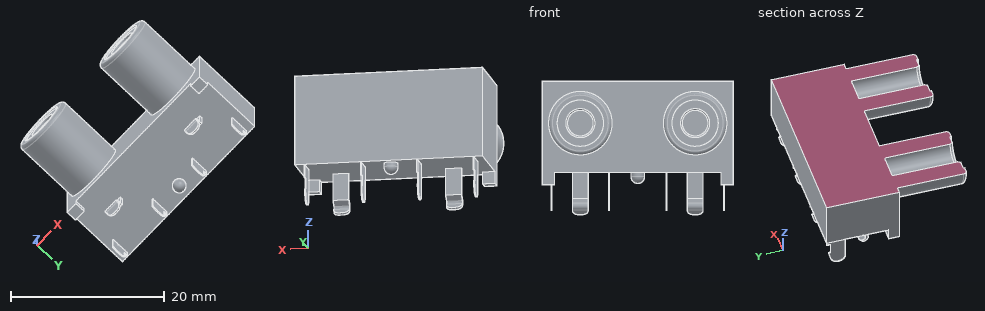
import cadquery as cq
import math


housing_width = 25.0
housing_depth = 10.0
housing_height = 11.95
foot_width = 1.65
foot_depth = 1.5
foot_height = 1.6

jack_spacing = 15.0
jack_axis_height = 6.45
barrel_length = 9.5
barrel_radius = 4.15
barrel_rim_fillet = 0.5
insulator_radius = 3.02
insulator_recess = 0.2
bore_radius = 1.68
bore_mouth_radius = 1.9
bore_taper_depth = 0.4

peg_radius = 0.9
peg_straight_height = 0.55
peg_setback = 8.3

pin_width = 2.1
pin_thickness = 0.38
pin_drop = 5.52
pin_front_setback = 3.82
bend_center_setback = 3.72
bend_center_drop = 4.42
bend_outer_radius = 0.65
pin_tip_fillet = 0.8

blade_thickness = 0.15
blade_pair_spacing = 7.5
blade_front_setback = 7.05
blade_back_setback = 9.6
notch_setback = 9.08
notch_top_drop = 1.65
barb_top_drop = 3.0
barb_tip_setback = 9.35
barb_tip_drop = 3.18
blade_tip_back_drop = 4.15
blade_tip_setback = 8.05
blade_tip_drop = 4.98
blade_tip_front_drop = 4.35

jack_positions = [-jack_spacing / 2, jack_spacing / 2]


def make_housing():
    block = cq.Workplane("XY").box(
        housing_width, housing_depth, housing_height, centered=(True, False, False)
    )
    foot_offset = (housing_width - foot_width) / 2
    feet = (
        cq.Workplane("XY")
        .pushPoints([(-foot_offset, foot_depth / 2), (foot_offset, foot_depth / 2)])
        .rect(foot_width, foot_depth)
        .extrude(-foot_height)
    )
    return block.union(feet)


def make_barrel(x):
    """Hollow barrel, revolved about the jack axis; y is negative in front of the housing."""
    rim_y = -barrel_length
    insulator_y = rim_y + insulator_recess
    rim_flat_radius = barrel_radius - barrel_rim_fillet
    return (
        cq.Workplane("XY")
        .moveTo(bore_radius, 0)
        .lineTo(barrel_radius, 0)
        .lineTo(barrel_radius, rim_y + barrel_rim_fillet)
        .radiusArc((rim_flat_radius, rim_y), barrel_rim_fillet)
        .lineTo(insulator_radius, rim_y)
        .lineTo(insulator_radius, insulator_y)
        .lineTo(bore_mouth_radius, insulator_y)
        .lineTo(bore_radius, insulator_y + bore_taper_depth)
        .close()
        .revolve(360, (0, 0, 0), (0, 1, 0))
        .translate((x, 0, jack_axis_height))
    )


def make_peg():
    """Round stem ending in a hemisphere, revolved about its vertical axis."""
    tip_start = -peg_straight_height
    return (
        cq.Workplane("XZ")
        .lineTo(peg_radius, 0)
        .lineTo(peg_radius, tip_start)
        .radiusArc((0, tip_start - peg_radius), peg_radius)
        .close()
        .revolve(360, (0, 0, 0), (0, 1, 0))
        .translate((0, peg_setback, 0))
    )


def make_pin(x):
    """Strip that goes down, forward at 45 degrees, around a bend and back at 45 degrees."""
    diagonal = math.cos(math.radians(45))
    inner_radius = bend_outer_radius - pin_thickness
    pin_back_setback = pin_front_setback + pin_thickness

    def bend_point(radius, side):
        """Tangent point of the bend; side is 1 at its upper end and -1 at its lower end."""
        reach = radius * diagonal
        return bend_center_setback - reach, -bend_center_drop + side * reach

    def bend_apex(radius):
        return bend_center_setback - radius, -bend_center_drop

    outer_top = bend_point(bend_outer_radius, 1)
    outer_bottom = bend_point(bend_outer_radius, -1)
    inner_top = bend_point(inner_radius, 1)
    inner_bottom = bend_point(inner_radius, -1)
    tip_run = pin_drop + outer_bottom[1]

    pin = (
        cq.Workplane("YZ")
        .moveTo(pin_front_setback, 0)
        .lineTo(pin_front_setback, outer_top[1] + pin_front_setback - outer_top[0])
        .lineTo(*outer_top)
        .threePointArc(bend_apex(bend_outer_radius), outer_bottom)
        .lineTo(outer_bottom[0] + tip_run, outer_bottom[1] - tip_run)
        .lineTo(inner_bottom[0] + tip_run, inner_bottom[1] - tip_run)
        .lineTo(*inner_bottom)
        .threePointArc(bend_apex(inner_radius), inner_top)
        .lineTo(pin_back_setback, inner_top[1] + pin_back_setback - inner_top[0])
        .lineTo(pin_back_setback, 0)
        .close()
        .extrude(pin_width / 2, both=True)
    )
    tip_face = pin.faces(cq.DirectionMinMaxSelector(cq.Vector(0, 1, -1), True))
    return tip_face.edges("not |X").fillet(pin_tip_fillet).translate((x, 0, 0))


def make_blade(x):
    """Flat blade with a notch and a retaining barb on its back edge and a rounded tip."""
    return (
        cq.Workplane("YZ")
        .moveTo(blade_front_setback, 0)
        .lineTo(blade_back_setback, 0)
        .lineTo(blade_back_setback, -notch_top_drop)
        .lineTo(notch_setback, -notch_top_drop)
        .lineTo(notch_setback, -barb_top_drop)
        .lineTo(barb_tip_setback, -barb_tip_drop)
        .lineTo(notch_setback, -blade_tip_back_drop)
        .threePointArc(
            (blade_tip_setback, -blade_tip_drop),
            (blade_front_setback, -blade_tip_front_drop),
        )
        .close()
        .extrude(blade_thickness / 2, both=True)
        .translate((x, 0, 0))
    )


result = make_housing().union(make_peg())
for jack_x in jack_positions:
    result = result.union(make_barrel(jack_x)).union(make_pin(jack_x))
    for side in (-1, 1):
        result = result.union(make_blade(jack_x + side * blade_pair_spacing / 2))